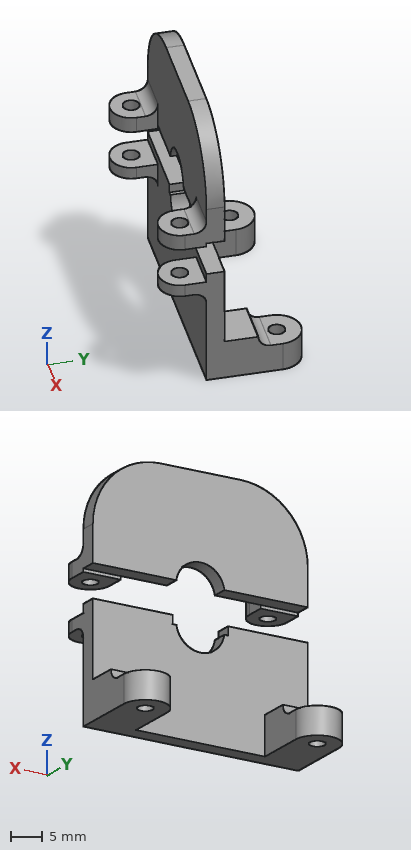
import cadquery as cq
import math

width = 40.0
plate_thickness = 3.0
total_height = 46.0
base_height = 20.8
cover_bottom = 26.75
corner_radius = 12.5

bore_radius = 4.5
base_bore_height = 19.85
cover_bore_height = 26.15
notch_width = 10.3

hole_diameter = 2.7
lug_radius = 3.5
lug_hole_reach = 3.55
cove_radius = 2.02
base_lug_top = 19.25
base_lug_thickness = 2.15
cover_lug_bottom = 26.17
cover_lug_thickness = 2.8

foot_radius = 4.0
foot_hole_reach = 9.48
foot_thickness = 5.05
foot_step_length = 5.5

cove_inset = cove_radius * (1 - math.cos(math.pi / 4))

sides = (-1, 1)


def make_tab(side, radius, root_y, hole_y, bottom, thickness):
    """Round-ended tab with a hole, flush with one side of the plate."""
    center_x = side * (width / 2 - radius)
    middle_y = (root_y + hole_y) / 2
    arm_length = abs(hole_y - root_y)
    level = cq.Workplane("XY").workplane(offset=bottom)
    arm = level.center(center_x, middle_y).rect(2 * radius, arm_length).extrude(thickness)
    rounded_end = level.center(center_x, hole_y).circle(radius).extrude(thickness)
    hole = level.center(center_x, hole_y).circle(hole_diameter / 2).extrude(thickness)
    return arm.union(rounded_end).cut(hole)


def make_side_profile(side, tab_width, outline):
    """Extrude a YZ outline across the width of a tab on one side."""
    start_x = -width / 2 if side < 0 else width / 2 - tab_width
    return outline.extrude(tab_width).translate((start_x, 0, 0))


def make_lug_cove(side, lug_face, direction):
    """Concave blend between a plate front and the lug face at height lug_face.

    The blend rises from the face for direction 1 and hangs below it for -1.
    """
    outline = (
        cq.Workplane("YZ")
        .moveTo(0, lug_face)
        .lineTo(-cove_radius, lug_face)
        .threePointArc(
            (-cove_inset, lug_face + direction * cove_inset),
            (0, lug_face + direction * cove_radius),
        )
        .close()
    )
    return make_side_profile(side, 2 * lug_radius, outline)


def make_foot_step(side):
    """Raised block between foot and plate, ending in a concave quarter round."""
    step_end = plate_thickness + foot_step_length
    outline = (
        cq.Workplane("YZ")
        .moveTo(plate_thickness, foot_thickness)
        .lineTo(step_end + cove_radius, foot_thickness)
        .threePointArc(
            (step_end + cove_inset, foot_thickness + cove_inset),
            (step_end, foot_thickness + cove_radius),
        )
        .lineTo(plate_thickness, foot_thickness + cove_radius)
        .close()
    )
    return make_side_profile(side, 2 * foot_radius, outline)


def make_plate(bottom, top):
    """Full-width upright plate."""
    height = top - bottom
    plate = cq.Workplane("XY").box(width, plate_thickness, height, centered=(True, False, False))
    return plate.translate((0, 0, bottom))


def make_bore(height):
    """Cutting cylinder for the shaft bore, through the plate along Y."""
    return cq.Workplane("XZ").center(0, height).circle(bore_radius).extrude(-plate_thickness)


def make_base():
    base = make_plate(0, base_height)
    notch_depth = base_height - base_lug_top
    notch = (
        cq.Workplane("XY")
        .box(notch_width, plate_thickness, notch_depth, centered=(True, False, False))
        .translate((0, 0, base_lug_top))
    )
    base = base.cut(make_bore(base_bore_height)).cut(notch)
    lug_bottom = base_lug_top - base_lug_thickness
    foot_hole_y = plate_thickness + foot_hole_reach
    for side in sides:
        base = base.union(make_tab(side, lug_radius, 0, -lug_hole_reach, lug_bottom, base_lug_thickness))
        base = base.union(make_lug_cove(side, lug_bottom, -1))
        base = base.union(make_tab(side, foot_radius, plate_thickness, foot_hole_y, 0, foot_thickness))
        base = base.union(make_foot_step(side))
    return base


def make_cover():
    cover = make_plate(cover_bottom, total_height)
    cover = cover.edges("|Y and >Z").fillet(corner_radius)
    cover = cover.cut(make_bore(cover_bore_height))
    lug_top = cover_lug_bottom + cover_lug_thickness
    for side in sides:
        cover = cover.union(
            make_tab(side, lug_radius, 0, -lug_hole_reach, cover_lug_bottom, cover_lug_thickness)
        )
        cover = cover.union(make_lug_cove(side, lug_top, 1))
    return cover


base = make_base()
cover = make_cover()
result = cq.Compound.makeCompound([base.val(), cover.val()])